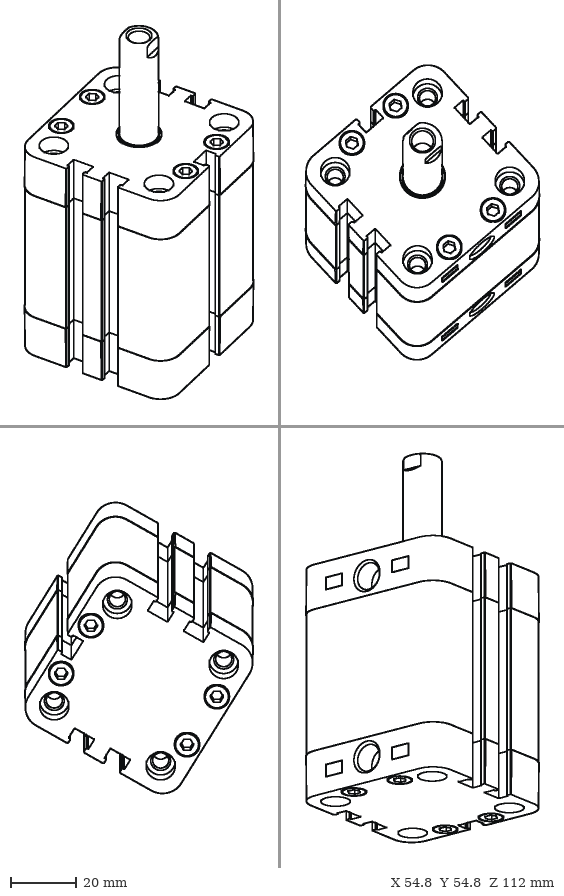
import cadquery as cq
import math

total_height = 112.0
body_height = 74.9
cap_height = 14.6
barrel_height = body_height - 2 * cap_height

cap_joint_width = 54.8
cap_end_width = 54.4
barrel_width = 54.4
corner_radius = 6.7

slot_mouth_width = 5.6
slot_inner_width = 7.0
slot_floor_offset = 22.0
slot_lip_offset = 25.5
slot_lip_chamfer = 0.2
slot_pair_offset = 6.4
slot_places = [
    (angle, shift)
    for angle in (90, -90)
    for shift in (-slot_pair_offset, slot_pair_offset)
] + [(0, 0)]

fixing_offset = 18.9
fixing_counterbore_diameter = 9.0
fixing_counterbore_depth = 5.0
fixing_hole_diameter = 4.9
fixing_chamfer = 0.6

screw_x = 22.4
screw_y = 9.0
screw_head_diameter = 7.7
screw_top_diameter = 7.0
screw_groove_depth = 0.7
socket_corner_diameter = 4.0
socket_depth = 3.0

port_end_distance = 8.1
port_diameter = 8.5
port_chamfer = 0.9
core_diameter = 40.0

label_offset = 13.0
label_length = 6.4
label_height = 3.9
label_depth = 0.2
label_end_distance = 7.2

rod_diameter = 12.0
rod_end_fillet = 1.1
flat_width = 10.0
flat_length = 4.3
thread_diameter = 6.6
thread_depth = 13.4
thread_tip_angle = 118.0
thread_chamfer = 0.7
wiper_lip_diameter = 12.5
wiper_groove_diameter = 13.7
wiper_mouth_diameter = 14.0
wiper_groove_depth = 0.6


def rounded_square(width, radius):
    return cq.Sketch().rect(width, width).vertices().fillet(radius)


def slot_cutter(angle, shift):
    """T-slot open toward +X, moved sideways by shift, then turned about Z."""
    face = barrel_width / 2
    beyond_face = cap_joint_width - face
    half_mouth = slot_mouth_width / 2
    half_inner = slot_inner_width / 2
    upper_side = [
        (slot_floor_offset, half_inner),
        (slot_lip_offset, half_inner),
        (slot_lip_offset, half_mouth + slot_lip_chamfer),
        (slot_lip_offset + slot_lip_chamfer, half_mouth),
        (face - slot_lip_chamfer, half_mouth),
        (beyond_face, half_mouth + slot_lip_chamfer + beyond_face - face),
    ]
    lower_side = [(x, -y) for x, y in reversed(upper_side)]
    return (
        cq.Workplane("XY")
        .polyline(upper_side + lower_side)
        .close()
        .extrude(body_height)
        .translate((0, shift, 0))
        .rotate((0, 0, 0), (0, 0, 1), angle)
    )


def cut_slots(body):
    for angle, shift in slot_places:
        body = body.cut(slot_cutter(angle, shift))
    return body


def cone(top_diameter, bottom_diameter, height):
    """Cone reaching down from Z = 0."""
    return cq.Workplane(
        cq.Solid.makeCone(top_diameter / 2, bottom_diameter / 2, height, dir=cq.Vector(0, 0, -1))
    )


def disc(diameter, depth):
    """Cylinder reaching down from Z = 0."""
    return cq.Workplane("XY").circle(diameter / 2).extrude(-depth)


def fixing_hole():
    """Counterbored hole through the cap, with a chamfer at the counterbore floor."""
    chamfer = cone(fixing_hole_diameter + 2 * fixing_chamfer, fixing_hole_diameter, fixing_chamfer)
    return (
        disc(fixing_counterbore_diameter, fixing_counterbore_depth)
        .union(disc(fixing_hole_diameter, cap_height))
        .union(chamfer.translate((0, 0, -fixing_counterbore_depth)))
    )


def screw_recess():
    """Hex socket and the groove around the bevelled edge of a screw head."""
    head = cone(screw_top_diameter, screw_head_diameter, screw_groove_depth)
    groove = disc(screw_head_diameter, screw_groove_depth).cut(head)
    socket = (
        cq.Workplane("XY")
        .polygon(6, socket_corner_diameter)
        .extrude(-socket_depth)
        .rotate((0, 0, 0), (0, 0, 1), 90)
    )
    return groove.add(socket).combine()


def port():
    """Chamfered port along X at Z = 0, opening through the -X face."""
    face_x = -cap_joint_width / 2
    hole = cq.Workplane("YZ").circle(port_diameter / 2).extrude(face_x)
    chamfer = cq.Workplane(
        cq.Solid.makeCone(
            port_diameter / 2 + port_chamfer,
            port_diameter / 2,
            port_chamfer,
            pnt=cq.Vector(face_x, 0, 0),
            dir=cq.Vector(1, 0, 0),
        )
    )
    core = cq.Workplane("XY").circle(core_diameter / 2).extrude(port_diameter, both=True)
    return hole.union(chamfer).cut(core)


def label_recess(y):
    """Box centred on the mean plane of the flared -X face, at Z = 0."""
    face_x = -(cap_joint_width + cap_end_width) / 4
    return cq.Workplane("XY").box(2 * label_depth, label_length, label_height).translate((face_x, y, 0))


def make_cap():
    """Cap with its joint face at Z = 0 and its end face at the cap height."""
    flare = (cap_joint_width - cap_end_width) / 2
    flare_angle = math.degrees(math.atan(flare / cap_height))
    cap = (
        cq.Workplane("XY")
        .placeSketch(rounded_square(cap_joint_width, corner_radius + flare))
        .extrude(cap_height, taper=flare_angle)
    )
    cap = cut_slots(cap)
    for side_x in (-1, 1):
        for side_y in (-1, 1):
            fixing_place = (side_x * fixing_offset, side_y * fixing_offset, cap_height)
            screw_place = (side_x * screw_x, side_y * screw_y, cap_height)
            cap = cap.cut(fixing_hole().translate(fixing_place))
            cap = cap.cut(screw_recess().translate(screw_place))
    cap = cap.cut(port().translate((0, 0, cap_height - port_end_distance)))
    for label_y in (-label_offset, label_offset):
        cap = cap.cut(label_recess(label_y).translate((0, 0, cap_height - label_end_distance)))
    return cap


def make_top_cap():
    """Cap with a rod bore through it and a bevelled groove around the wiper lip at its mouth."""
    bevel = (wiper_mouth_diameter - wiper_groove_diameter) / 2
    groove = (
        disc(wiper_groove_diameter, wiper_groove_depth)
        .union(cone(wiper_mouth_diameter, wiper_groove_diameter, bevel))
        .cut(disc(wiper_lip_diameter, wiper_groove_depth))
    )
    end_face = (0, 0, cap_height)
    cap = make_cap()
    cap = cap.cut(groove.translate(end_face))
    cap = cap.cut(disc(rod_diameter, cap_height).translate(end_face))
    return cap.translate((0, 0, body_height - cap_height))


def make_bottom_cap():
    return make_cap().mirror("XY").translate((0, 0, cap_height))


def make_barrel():
    barrel = (
        cq.Workplane("XY")
        .placeSketch(rounded_square(barrel_width, corner_radius))
        .extrude(barrel_height)
    )
    return cut_slots(barrel).translate((0, 0, cap_height))


def rod_flat_cutter():
    """Wrench flat on the +X side of a rod whose end is at Z = 0, with a 45 degree run-out."""
    flat_x = flat_width / 2
    run_out = rod_diameter - flat_x
    return (
        cq.Workplane("XZ")
        .moveTo(flat_x, 0)
        .lineTo(flat_x, -flat_length)
        .lineTo(flat_x + run_out, -flat_length - run_out)
        .lineTo(flat_x + run_out, 0)
        .close()
        .extrude(rod_diameter, both=True)
    )


def make_rod():
    """Rod standing on the barrel, with wrench flats and a threaded hole in its end."""
    rod_length = total_height - (body_height - cap_height)
    rod = disc(rod_diameter, rod_length).faces(">Z").fillet(rod_end_fillet)
    tip_height = thread_diameter / 2 / math.tan(math.radians(thread_tip_angle / 2))
    hole = (
        disc(thread_diameter, thread_depth)
        .union(cone(thread_diameter, 0, tip_height).translate((0, 0, -thread_depth)))
        .union(cone(thread_diameter + 2 * thread_chamfer, thread_diameter, thread_chamfer))
    )
    rod = rod.cut(hole)
    for angle in (0, 180):
        rod = rod.cut(rod_flat_cutter().rotate((0, 0, 0), (0, 0, 1), angle))
    return rod.translate((0, 0, total_height))


top_cap = make_top_cap()
bottom_cap = make_bottom_cap()
barrel = make_barrel()
rod = make_rod()

result = cq.Compound.makeCompound([top_cap.val(), bottom_cap.val(), barrel.val(), rod.val()])